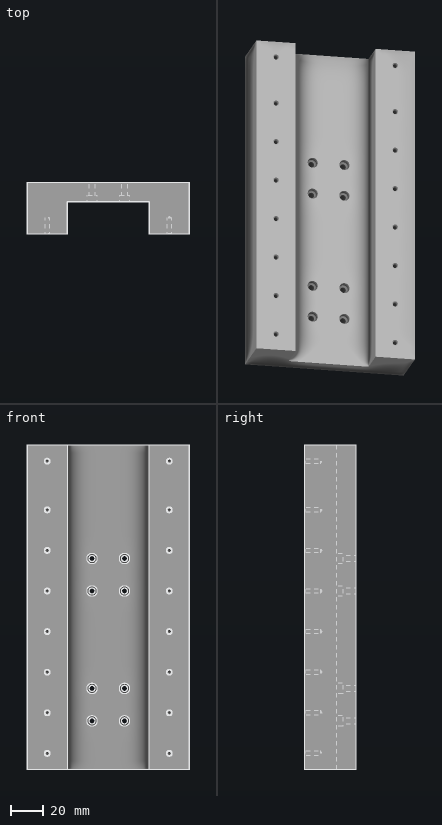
import cadquery as cq
import math

width = 100.0
depth = 32.0
height = 200.0

channel_width = 50.5
web_thickness = 12.0
rail_width = (width - channel_width) / 2
front_y = -depth / 2
floor_y = depth / 2 - web_thickness

rail_hole_x = (width - rail_width) / 2
rail_hole_diameter = 2.5
rail_hole_mouth_diameter = 3.5
rail_hole_mouth_depth = (rail_hole_mouth_diameter - rail_hole_diameter) / 2
rail_hole_depth = 10.0
drill_tip_angle = 118.0
drill_tip_length = rail_hole_diameter / 2 / math.tan(math.radians(drill_tip_angle / 2))
rail_hole_pitch = 25.0
rail_row_count = 7
end_margin = 10.0
rail_hole_heights = [end_margin + i * rail_hole_pitch for i in range(rail_row_count)]
rail_hole_heights.append(height - end_margin)

web_hole_diameter = 3.5
counterbore_diameter = 6.5
counterbore_depth = 4.0
web_hole_spacing = 20.0
group_centre_heights = [40.0, 120.0]


def cylinder_inward(x, y, z, diameter, length):
    """Cylinder that starts at (x, y, z) and runs in the +Y direction."""
    return cq.Workplane(
        cq.Solid.makeCylinder(diameter / 2, length, cq.Vector(x, y, z), cq.Vector(0, 1, 0))
    )


def rail_hole(x, z):
    """Blind drilled hole with a chamfered mouth and a conical bottom."""
    inward = cq.Vector(0, 1, 0)
    bore_radius = rail_hole_diameter / 2
    mouth = cq.Solid.makeCone(
        rail_hole_mouth_diameter / 2,
        bore_radius,
        rail_hole_mouth_depth,
        cq.Vector(x, front_y, z),
        inward,
    )
    tip_start = cq.Vector(x, front_y + rail_hole_depth, z)
    tip = cq.Solid.makeCone(bore_radius, 0, drill_tip_length, tip_start, inward)
    bore = cylinder_inward(x, front_y, z, rail_hole_diameter, rail_hole_depth)
    return bore.union(cq.Workplane(mouth)).union(cq.Workplane(tip))


def web_hole(x, z):
    """Through hole counterbored from the channel floor."""
    bore = cylinder_inward(x, floor_y, z, web_hole_diameter, web_thickness)
    return bore.union(cylinder_inward(x, floor_y, z, counterbore_diameter, counterbore_depth))


block = cq.Workplane("XY").box(width, depth, height, centered=(True, True, False))
channel = (
    cq.Workplane("XY")
    .box(channel_width, depth - web_thickness, height, centered=(True, False, False))
    .translate((0, front_y, 0))
)
result = block.cut(channel)

for side in (-1, 1):
    for z in rail_hole_heights:
        result = result.cut(rail_hole(side * rail_hole_x, z))

    for centre_height in group_centre_heights:
        for level in (-1, 1):
            z = centre_height + level * web_hole_spacing / 2
            result = result.cut(web_hole(side * web_hole_spacing / 2, z))